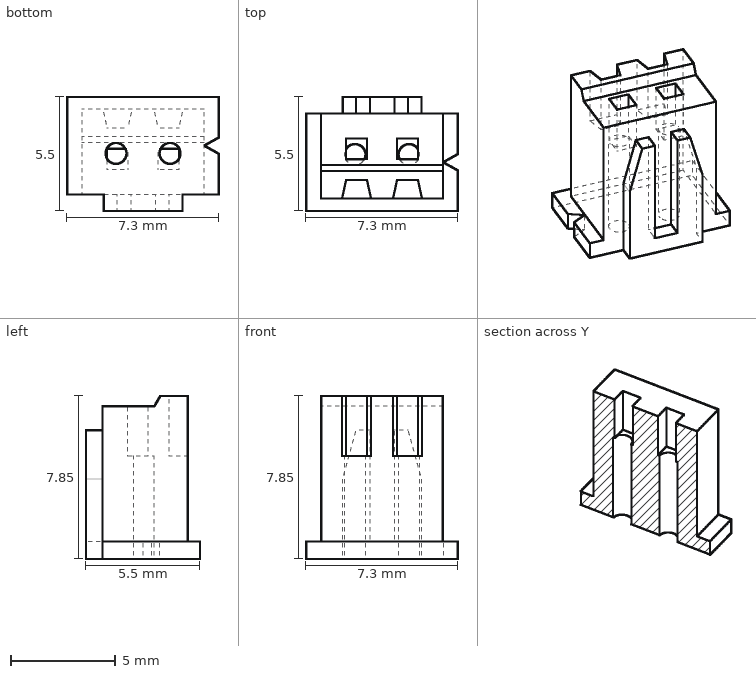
import cadquery as cq
import math

flange_width = 7.3
flange_depth = 4.7
flange_height = 0.85

notch_depth = 0.7
notch_half_width = 0.39
notch_y = 2.35

body_width = 5.85
body_front_y = 0.6
body_back_y = flange_depth
total_height = 7.85
rear_step = 0.5
front_wall_back_y = 1.92
step_angle = 30.0

contact_count = 2
contact_pitch = 2.45

slot_front_width = 1.4
slot_back_width = 1.0
slot_depth = 0.9
slot_floor_z = 4.95

pocket_size = slot_back_width
pocket_y = 3.0
pocket_floor_z = slot_floor_z
hole_diameter = 1.0
hole_pitch = 2.6
hole_y = 2.72

total_depth = 5.5
rib_span = 3.8
rib_gap = 1.18
rib_height = 6.2
bevel_width = 0.65
bevel_height = 2.35


def row_positions(pitch):
    """X positions of a row of contacts centred on X = 0."""
    return [(i - (contact_count - 1) / 2) * pitch for i in range(contact_count)]


def make_flange():
    edge_x = flange_width / 2
    flange = cq.Workplane("XY").box(
        flange_width, flange_depth, flange_height, centered=(True, False, False)
    )
    notch = (
        cq.Workplane("XY")
        .moveTo(edge_x, notch_y - notch_half_width)
        .lineTo(edge_x - notch_depth, notch_y)
        .lineTo(edge_x, notch_y + notch_half_width)
        .close()
        .extrude(flange_height)
    )
    return flange.cut(notch)


def make_body():
    """Side profile with a lowered rear top, extruded across the width."""
    rear_top_z = total_height - rear_step
    step_run = rear_step * math.tan(math.radians(step_angle))
    profile = [
        (body_front_y, flange_height),
        (body_front_y, total_height),
        (front_wall_back_y, total_height),
        (front_wall_back_y + step_run, rear_top_z),
        (body_back_y, rear_top_z),
        (body_back_y, flange_height),
    ]
    return cq.Workplane("YZ").polyline(profile).close().extrude(body_width / 2, both=True)


def make_slot(x):
    back_y = body_front_y + slot_depth
    outline = [
        (x - slot_front_width / 2, body_front_y),
        (x + slot_front_width / 2, body_front_y),
        (x + slot_back_width / 2, back_y),
        (x - slot_back_width / 2, back_y),
    ]
    slot = cq.Workplane("XY").workplane(offset=slot_floor_z).polyline(outline).close()
    return slot.extrude(total_height - slot_floor_z)


def make_pocket(x):
    pocket = cq.Workplane("XY").workplane(offset=pocket_floor_z).center(x, pocket_y)
    return pocket.rect(pocket_size, pocket_size).extrude(total_height - pocket_floor_z)


def make_hole(x):
    return cq.Workplane("XY").center(x, hole_y).circle(hole_diameter / 2).extrude(pocket_floor_z)


def make_rib(side):
    """Latch rib on the -X (side = -1) or +X (side = 1) half of the back face."""
    inner_x = side * rib_gap / 2
    outer_x = side * rib_span / 2
    outline = [
        (inner_x, 0),
        (outer_x, 0),
        (outer_x, rib_height - bevel_height),
        (outer_x - side * bevel_width, rib_height),
        (inner_x, rib_height),
    ]
    rib = cq.Workplane("XZ", origin=(0, body_back_y, 0)).polyline(outline).close()
    return rib.extrude(body_back_y - total_depth)


def make_web():
    """Low web joining the two latch ribs."""
    web = cq.Workplane("XY").box(
        rib_gap, total_depth - body_back_y, flange_height, centered=(True, False, False)
    )
    return web.translate((0, body_back_y, 0))


result = make_flange().union(make_body()).union(make_web())
for side in (-1, 1):
    result = result.union(make_rib(side))
for x in row_positions(contact_pitch):
    result = result.cut(make_slot(x)).cut(make_pocket(x))
for x in row_positions(hole_pitch):
    result = result.cut(make_hole(x))